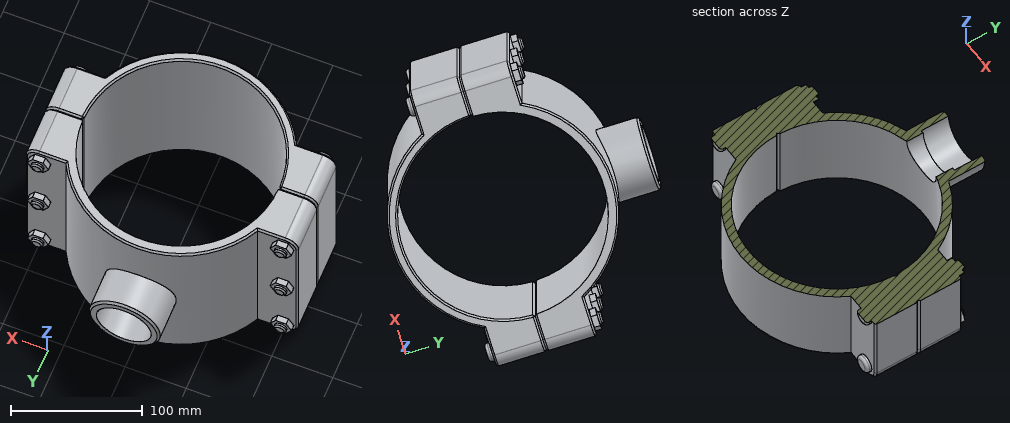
import cadquery as cq

total_width = 223.0
total_depth = 205.5
clamp_length = 145.0
bore_radius = 80.0
outer_radius = 88.0
lug_depth = 40.0
lug_corner_radius = 11.0
edge_chamfer = 1.5

port_diameter = 58.2
port_chamfer = 1.8
port_bore_diameter = 40.0
port_socket_diameter = 44.8
port_socket_depth = 25.0
port_root = 81.5

bolt_edge_distance = 12.0
bolts_per_lug = 3
bolt_diameter = 10.0
bolt_end_length = 3.0
bolt_end_chamfer = 1.3
head_diameter = 15.0
head_height = 4.5
head_rounding = 2.7
nut_corner_diameter = 17.5
nut_height = 5.0

half_width = total_width / 2
half_length = clamp_length / 2
port_end = total_depth - outer_radius
port_socket_start = port_end - port_socket_depth
bolt_x = half_width - bolt_edge_distance
bolt_spacing = 2 * (half_length - bolt_edge_distance) / (bolts_per_lug - 1)


def plane_at_y(y):
    """Workplane at the given Y whose normal points to +Y."""
    return cq.Workplane(cq.Plane(origin=(0, y, 0), xDir=(1, 0, 0), normal=(0, 1, 0)))


def rod(diameter, start, end):
    """Solid cylinder along the Y axis."""
    return plane_at_y(start).circle(diameter / 2).extrude(end - start)


def pipe_cylinder(radius):
    """Solid cylinder along the Z axis, as long as the clamp."""
    return cq.Workplane("XY").circle(radius).extrude(half_length, both=True)


def block(depth):
    """Full-width block reaching from the split plane towards +Y."""
    return cq.Workplane("XY").box(total_width, depth, clamp_length, centered=(True, False, True))


def clamp_half(chamfer_bore_rims):
    """Half clamp on the +Y side of the split plane, with chamfered outer edges."""
    shell = pipe_cylinder(outer_radius).intersect(block(outer_radius))
    lugs = block(lug_depth).edges("|Y").fillet(lug_corner_radius)
    half = shell.union(lugs).cut(pipe_cylinder(bore_radius))

    lug_edges = half.faces("|Y").edges("(not |Z) or <X or >X or <Y")
    rim_edges = half.faces("|Z").edges("%CIRCLE")
    if not chamfer_bore_rims:
        rim_edges = rim_edges.edges(cq.selectors.RadiusNthSelector(-1))
    return lug_edges.add(rim_edges).chamfer(edge_chamfer)


def add_branch_port(body):
    """Port on the +Y half, bored into the pipe and widened by a socket at its mouth."""
    port = rod(port_diameter, port_root, port_end).faces(">Y").chamfer(port_chamfer)
    port_bore = rod(port_bore_diameter, 0, port_end)
    socket = rod(port_socket_diameter, port_socket_start, port_end)
    return body.union(port).cut(port_bore).cut(socket)


def make_bolt():
    """Round-headed bolt along Y, with its head on the -Y side and a hex nut on the +Y side."""
    head = rod(head_diameter, -lug_depth - head_height, -lug_depth)
    head = head.faces("<Y").edges().fillet(head_rounding)
    shank = rod(bolt_diameter, -lug_depth, lug_depth + nut_height + bolt_end_length)
    shank = shank.faces(">Y").chamfer(bolt_end_chamfer)
    nut = plane_at_y(lug_depth).polygon(6, nut_corner_diameter).extrude(nut_height)
    return head.union(shank).union(nut)


port_half = clamp_half(chamfer_bore_rims=False)
plain_half = clamp_half(chamfer_bore_rims=True).mirror("XZ")
result = add_branch_port(port_half.union(plain_half))

bolt = make_bolt()
for x in (-bolt_x, bolt_x):
    for row in range(bolts_per_lug):
        z = (row - (bolts_per_lug - 1) / 2) * bolt_spacing
        result = result.union(bolt.translate((x, 0, z)))